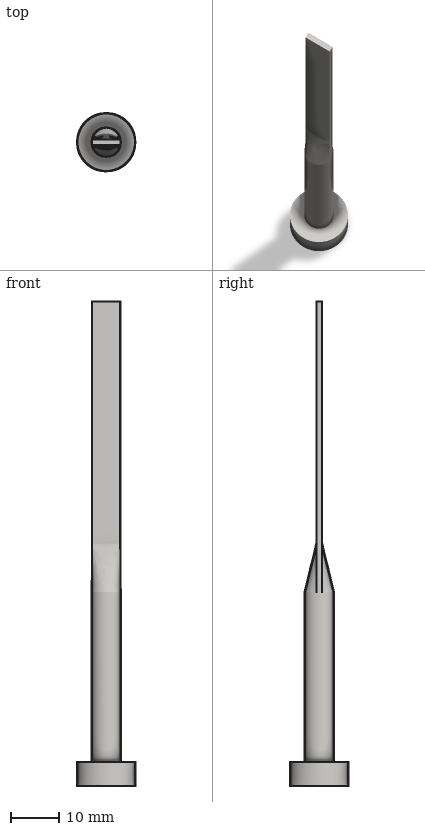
import cadquery as cq
import math

total_length = 100.0
head_diameter = 12.0
head_height = 5.0
shaft_diameter = 6.0
shaft_top = 40.0
blade_bottom = 50.0
blade_thickness = 1.2

shaft_radius = shaft_diameter / 2
half_thickness = blade_thickness / 2
half_width = math.sqrt(shaft_radius**2 - half_thickness**2)
blade_width = 2 * half_width


def make_head_and_shaft():
    head = cq.Workplane("XY").circle(head_diameter / 2).extrude(head_height)
    shaft = cq.Workplane("XY").circle(shaft_radius).extrude(shaft_top)
    return head.union(shaft)


def make_transition():
    """Loft from the round shaft to the flat blade, matching corner to corner."""
    return (
        cq.Workplane("XY", origin=(0, 0, shaft_top))
        .moveTo(-half_width, -half_thickness)
        .threePointArc((0, -shaft_radius), (half_width, -half_thickness))
        .threePointArc((shaft_radius, 0), (half_width, half_thickness))
        .threePointArc((0, shaft_radius), (-half_width, half_thickness))
        .threePointArc((-shaft_radius, 0), (-half_width, -half_thickness))
        .close()
        .workplane(offset=blade_bottom - shaft_top)
        .moveTo(-half_width, -half_thickness)
        .lineTo(half_width, -half_thickness)
        .lineTo(half_width, half_thickness)
        .lineTo(-half_width, half_thickness)
        .close()
        .loft(ruled=True, combine=True)
    )


def make_blade():
    return (
        cq.Workplane("XY", origin=(0, 0, blade_bottom))
        .rect(blade_width, blade_thickness)
        .extrude(total_length - blade_bottom)
    )


result = make_head_and_shaft().union(make_transition()).union(make_blade())